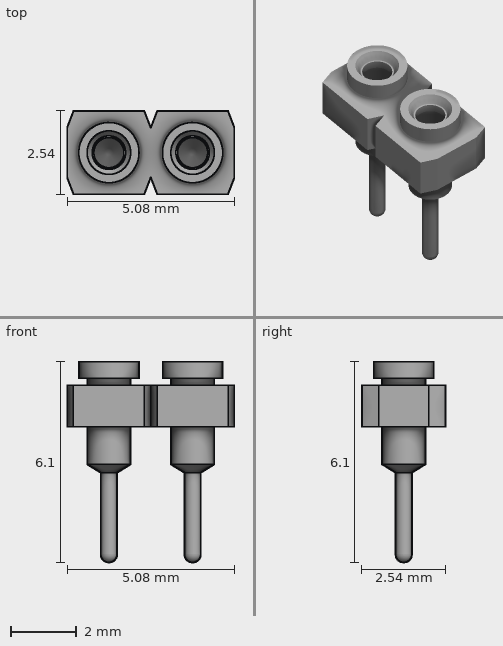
import cadquery as cq
import math

CELL_COUNT = 2
HOUSING_LENGTH = 5.08
PITCH = HOUSING_LENGTH / CELL_COUNT
HOUSING_WIDTH = 2.54
HOUSING_HEIGHT = 1.27
CORNER_X = 0.195
CORNER_Y = 0.505
HOUSING_TOP = -0.715

PIN_LENGTH = 6.1
HEAD_DIAMETER = 1.83
HEAD_HEIGHT = 0.505
BARREL_DIAMETER = 1.325
BARREL_DEPTH = 3.12
TAPER_HEIGHT = 0.25
TAIL_DIAMETER = 0.505

MOUTH_DIAMETER = BARREL_DIAMETER
MOUTH_DEPTH = 0.25
MOUTH_BULGE = 0.009
LIP_DIAMETER = 0.915
LIP_HEIGHT = 0.255
BORE_DIAMETER = 1.02
BORE_DEPTH = 2.5
POINT_ANGLE = 120.0


def make_cell(x):
    """One housing cell, with its four corners cut and a hole for the pin."""
    half_x = PITCH / 2
    half_y = HOUSING_WIDTH / 2
    flat_x = half_x - CORNER_X
    flat_y = half_y - CORNER_Y
    outline = [
        (-half_x, -flat_y),
        (-flat_x, -half_y),
        (flat_x, -half_y),
        (half_x, -flat_y),
        (half_x, flat_y),
        (flat_x, half_y),
        (-flat_x, half_y),
        (-half_x, flat_y),
    ]
    cell = cq.Workplane("XY").polyline(outline).close().extrude(-HOUSING_HEIGHT)
    hole = cq.Workplane("XY").circle(BARREL_DIAMETER / 2).extrude(-HOUSING_HEIGHT)
    return cell.cut(hole).translate((x, 0, HOUSING_TOP))


def make_housing(positions):
    """Neighbouring cells joined along their shared faces."""
    housing = make_cell(positions[0])
    for x in positions[1:]:
        housing = housing.union(make_cell(x))
    return housing


def make_pin(x):
    """Turned pin: head, barrel, taper and round-ended tail, with a socket on top."""
    barrel_radius = BARREL_DIAMETER / 2
    tail_radius = TAIL_DIAMETER / 2
    tip_start = PIN_LENGTH - tail_radius
    tip_middle = tail_radius * math.sqrt(0.5)
    body = (
        cq.Workplane("XZ")
        .lineTo(HEAD_DIAMETER / 2, 0)
        .lineTo(HEAD_DIAMETER / 2, -HEAD_HEIGHT)
        .lineTo(barrel_radius, -HEAD_HEIGHT)
        .lineTo(barrel_radius, -BARREL_DEPTH)
        .lineTo(tail_radius, -BARREL_DEPTH - TAPER_HEIGHT)
        .lineTo(tail_radius, -tip_start)
        .threePointArc((tip_middle, -tip_start - tip_middle), (0, -PIN_LENGTH))
        .close()
        .revolve(360, (0, 0, 0), (0, 1, 0))
    )
    return body.cut(make_socket()).translate((x, 0, 0))


def make_socket():
    """The space inside the pin, as a solid of revolution."""
    mouth_radius = MOUTH_DIAMETER / 2
    lip_radius = LIP_DIAMETER / 2
    lip_bottom = MOUTH_DEPTH + LIP_HEIGHT
    bore_radius = BORE_DIAMETER / 2
    point_height = bore_radius / math.tan(math.radians(POINT_ANGLE / 2))
    middle_radius = (mouth_radius + bore_radius) / 2 + MOUTH_BULGE
    return (
        cq.Workplane("XZ")
        .lineTo(mouth_radius, 0)
        .threePointArc((middle_radius, -MOUTH_DEPTH / 2), (bore_radius, -MOUTH_DEPTH))
        .lineTo(lip_radius, -MOUTH_DEPTH)
        .lineTo(lip_radius, -lip_bottom)
        .lineTo(bore_radius, -lip_bottom)
        .lineTo(bore_radius, -BORE_DEPTH)
        .lineTo(0, -BORE_DEPTH - point_height)
        .close()
        .revolve(360, (0, 0, 0), (0, 1, 0))
    )


pin_positions = [(i - (CELL_COUNT - 1) / 2) * PITCH for i in range(CELL_COUNT)]
housing = make_housing(pin_positions)
pins = [make_pin(x) for x in pin_positions]

result = cq.Compound.makeCompound([housing.val(), *[pin.val() for pin in pins]])